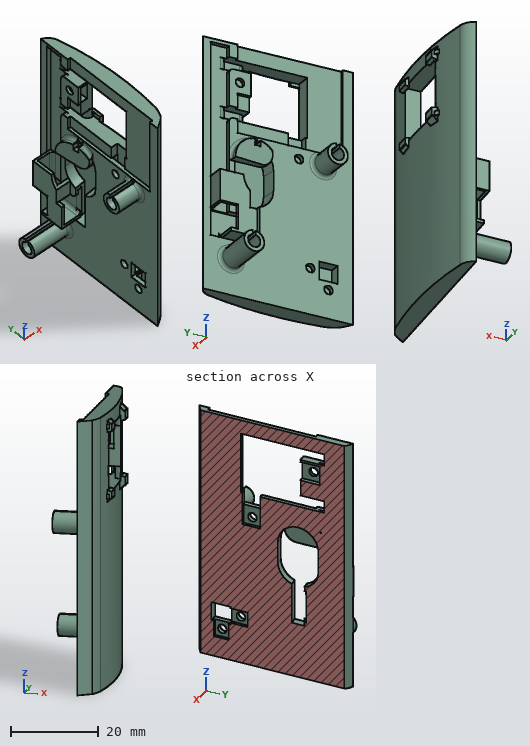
import cadquery as cq
import math


PLATE_WIDTH = 39.13
PLATE_HEIGHT = 63.8
PLATE_THICKNESS = 5.0
CROWN_RADIUS = 84.0
CROWN_PEAK_Y = 16.5
UPPER_EDGE_Y = 36.1
UPPER_EDGE_MID = (2.0, 37.65)
LOWER_EDGE_Y = 5.1
LOWER_EDGE_MID = (3.65, 3.35)
LOWER_BEVEL_END = (3.04, 2.15)
LOWER_BEVEL_MID = (1.65, 1.08)
CLEARANCE = 10.0

CATCH_SKIN = 1.2
CATCH_DEPTH = 2.75
SQUARE_CATCH_WIDTH = 3.7
CATCH_BEYOND_HOLE = 2.0
HOLE_DIAMETER = 2.2
BLOCK_HOLE = (29.5, 54.27)
CHANNEL_HOLE = (14.1, 38.6)
SQUARE_SIDE_HOLE = (11.16, 11.75)
SQUARE_LOWER_HOLE = (6.44, 7.3)

WINDOW_Y = (11.45, 26.6)
WINDOW_Z = (44.94, 60.17)
STEP_Y = (2.7, 30.1)
STEP_BOTTOM_Z = 41.45
STEP_DEPTH = 0.85
CHANNEL_Y = (11.9, 16.4)

STRIP_Y = (32.35, 37.1)
STRIP_TOP_Z = 62.86
STRIP_DEPTH = 1.15

GROOVE_HEIGHT = 2.87
GROOVE_DEPTH = CATCH_DEPTH
GROOVE_ROUND = 1.6
BLOCK_CORNER_RADIUS = 1.2
BLOCK_BOTTOM_Z = 51.5
BLOCK_CATCH_WIDTH = 4.7
BLOCK_SKIN = STEP_DEPTH

TILT = 6.0
KEYHOLE_Y = 25.85
KEYHOLE_RADIUS = 5.05
KEYHOLE_UPPER_Z = 34.2
KEYHOLE_LOWER_Z = 28.95
KEYHOLE_DEPTH = 3.4
NECK_Y = (24.3, 27.46)
NECK_BOTTOM_Z = 13.97

LID_CENTRE = (25.94, 34.2)
LID_RADIUS = 5.95
LID_Y_MIN = 21.65
LID_BOTTOM_Z = 34.1
LID_CORNER_RADIUS = 3.1
LID_RISE = 1.18
NOTCH_Y = (25.1, 26.65)
NOTCH_BOTTOM_Z = 38.6
NOTCH_DEPTH = 1.0
NOTCH_PIT_TOP_Z = 40.1
NOTCH_PIT_SHIFT = 0.15

BRACKET_HEIGHT = 4.3
BRACKET_WALL = 0.85
BRACKET_SIDE_WALL = 0.65
BRACKET_TOP_Z = 28.9
BRACKET_STEP_Z = 21.0
BRACKET_RIB_Y = 29.25
BRACKET_RIB = 0.6
BRACKET_FLOOR_END_Y = 34.15
BRACKET_FILLET = 0.95
RECESS_CORNER_RADIUS = 1.2
NECK_EDGE_RADIUS = 1.45
RECESS_DEPTH = 1.55
RECESS_SKIN = 0.85
RECESS_UNDERCUT_Z = 23.0

POSTS = [(7.9, 38.45, 7.0), (31.92, 9.1, 11.0)]
POST_DIAMETER = 5.2
POST_BORE = 3.2
BORE_OVERDEPTH = 1.0
POST_SLIT = 0.85
BASE_FLARE = 0.9

SQUARE_Y = (4.06, 8.81)
SQUARE_Z = (9.42, 13.97)

TAB_TOP_X = 5.82
TAB_BACK_X = 4.8
TAB_TIP = 0.2
TAB_SIDE_FLARE_X = 5.2
TAB_INNER_SLOPE = 0.3
TAB_ROOT_X = 4.3
TAB_OVERHANG_Y = 2.1
TAB_OVERHANG_Z = {WINDOW_Y[0]: 0.87, WINDOW_Y[1]: 1.25}
TAB_REACH = 1.05


def block(x, y, z):
    """Box spanning three (low, high) ranges."""
    size = (x[1] - x[0], y[1] - y[0], z[1] - z[0])
    return cq.Workplane("XY").box(*size, centered=False).translate((x[0], y[0], z[0]))


def pocket(depth, y, z):
    """Rectangular cutter sunk from the back face."""
    return block((-CLEARANCE, depth), y, z)


def crown_x(y):
    """Height of the crowned front face at y."""
    return PLATE_THICKNESS - CROWN_RADIUS + math.sqrt(CROWN_RADIUS**2 - (y - CROWN_PEAK_Y) ** 2)


def make_plate():
    """Crowned cross-section in X and Y, extruded along Z."""
    return (
        cq.Workplane("XY")
        .moveTo(0, 0)
        .threePointArc(LOWER_BEVEL_MID, LOWER_BEVEL_END)
        .threePointArc(LOWER_EDGE_MID, (crown_x(LOWER_EDGE_Y), LOWER_EDGE_Y))
        .threePointArc((PLATE_THICKNESS, CROWN_PEAK_Y), (crown_x(UPPER_EDGE_Y), UPPER_EDGE_Y))
        .threePointArc(UPPER_EDGE_MID, (0, PLATE_WIDTH))
        .close()
        .extrude(PLATE_HEIGHT)
    )


def groove_bottoms():
    """Lower Z of the grooves, flush with the window top and bottom."""
    return [WINDOW_Z[1] - GROOVE_HEIGHT, WINDOW_Z[0]]


def hinge_groove(z):
    """Groove from the strip to the window, rounded over at both ends."""
    strip_end = STRIP_Y[0] + GROOVE_ROUND
    window_end = WINDOW_Y[1] + GROOVE_ROUND
    bend = GROOVE_ROUND * math.sqrt(0.5)
    strip_centre_x = STRIP_DEPTH + GROOVE_ROUND
    window_centre_x = GROOVE_DEPTH + GROOVE_ROUND
    return (
        cq.Workplane("XY", origin=(0, 0, z))
        .moveTo(-CLEARANCE, strip_end)
        .lineTo(STRIP_DEPTH, strip_end)
        .threePointArc((strip_centre_x - bend, strip_end - bend), (strip_centre_x, STRIP_Y[0]))
        .lineTo(GROOVE_DEPTH, window_end)
        .threePointArc((window_centre_x - bend, window_end - bend), (window_centre_x, WINDOW_Y[1]))
        .lineTo(-CLEARANCE, WINDOW_Y[1])
        .close()
        .extrude(GROOVE_HEIGHT)
    )


def corner_rounding(depth, y, z, radius, side):
    """Cutter that rounds a plate corner; side is -1 or +1 for solid at lower or higher y and z."""
    centre = (y + side * radius, z + side * radius)
    square = pocket(depth, sorted([y, centre[0]]), sorted([z, centre[1]]))
    disc = cq.Workplane("YZ").center(*centre).circle(radius)
    return square.cut(disc.extrude(2 * CLEARANCE, both=True))


def cut_window_area(body):
    through_x = (-CLEARANCE, CLEARANCE)
    body = body.cut(block(through_x, WINDOW_Y, WINDOW_Z))
    step = pocket(STEP_DEPTH, STEP_Y, (STEP_BOTTOM_Z, PLATE_HEIGHT))
    kept_block = pocket(STEP_DEPTH, (WINDOW_Y[1], STEP_Y[1]), (BLOCK_BOTTOM_Z, groove_bottoms()[0]))
    body = body.cut(step.cut(kept_block))
    body = body.cut(pocket(CATCH_DEPTH, CHANNEL_Y, (STEP_BOTTOM_Z, WINDOW_Z[0])))
    body = body.cut(pocket(STRIP_DEPTH, STRIP_Y, (NECK_BOTTOM_Z, STRIP_TOP_Z)))
    for z in groove_bottoms():
        body = body.cut(hinge_groove(z))
        body = body.cut(corner_rounding(STRIP_DEPTH, STRIP_Y[0], z, BLOCK_CORNER_RADIUS, -1))
    return body


def tilted_plane():
    """Plane through the keyhole axis; its normal leans toward +Y going into the plate."""
    angle = math.radians(TILT)
    return cq.Plane(
        origin=(0, KEYHOLE_Y, 0),
        xDir=(-math.sin(angle), math.cos(angle), 0),
        normal=(math.cos(angle), math.sin(angle), 0),
    )


def tilted_pocket(depth, y, z):
    """Rectangular cutter along the tilted keyhole axis."""
    start = cq.Workplane(tilted_plane()).workplane(offset=-CLEARANCE)
    centre = ((y[0] + y[1]) / 2 - KEYHOLE_Y, (z[0] + z[1]) / 2)
    return start.center(*centre).rect(y[1] - y[0], z[1] - z[0]).extrude(CLEARANCE + depth)


def keyhole_cavity():
    """Round-ended chamber with a narrow neck running down to the bracket floor."""
    diameter = 2 * KEYHOLE_RADIUS
    length = KEYHOLE_UPPER_Z - KEYHOLE_LOWER_Z + diameter
    start = cq.Workplane(tilted_plane()).workplane(offset=-CLEARANCE)
    middle = start.center(0, (KEYHOLE_UPPER_Z + KEYHOLE_LOWER_Z) / 2)
    chamber = middle.slot2D(length, diameter, 90).extrude(CLEARANCE + KEYHOLE_DEPTH)
    return chamber.union(tilted_pocket(KEYHOLE_DEPTH, NECK_Y, (NECK_BOTTOM_Z, KEYHOLE_LOWER_Z)))


def bracket_recess():
    """Floor recess below the bracket, with rounded corners toward the neck."""
    recess = pocket(RECESS_DEPTH, (NECK_Y[1], STRIP_Y[1]), (NECK_BOTTOM_Z, BRACKET_STEP_Z))
    undercut_y = (NECK_Y[1], BRACKET_RIB_Y)
    undercut = block((RECESS_SKIN, RECESS_DEPTH), undercut_y, (BRACKET_STEP_Z, RECESS_UNDERCUT_Z))
    edge = block(
        (RECESS_DEPTH, RECESS_DEPTH + NECK_EDGE_RADIUS),
        (NECK_Y[1], NECK_Y[1] + NECK_EDGE_RADIUS),
        (NECK_BOTTOM_Z + BRACKET_WALL, RECESS_UNDERCUT_Z),
    )
    roll = (
        cq.Workplane("XY")
        .center(RECESS_DEPTH + NECK_EDGE_RADIUS, NECK_Y[1] + NECK_EDGE_RADIUS)
        .circle(NECK_EDGE_RADIUS)
        .extrude(PLATE_HEIGHT)
    )
    corner = corner_rounding(RECESS_DEPTH, NECK_Y[1], BRACKET_STEP_Z, RECESS_CORNER_RADIUS, 1)
    return recess.union(undercut).union(edge.cut(roll)).union(corner)


def bracket_cover_outline():
    """Cover shape in Y and Z, hollowed by the keyhole circle."""
    outline = (
        cq.Workplane("YZ")
        .polyline([
            (STRIP_Y[1], BRACKET_TOP_Z),
            (STRIP_Y[1], BRACKET_STEP_Z),
            (STRIP_Y[0], BRACKET_STEP_Z),
            (STRIP_Y[0], NECK_BOTTOM_Z),
            (NECK_Y[1], NECK_BOTTOM_Z),
            (NECK_Y[1], BRACKET_STEP_Z),
            (BRACKET_RIB_Y, BRACKET_STEP_Z),
            (BRACKET_RIB_Y, BRACKET_TOP_Z),
        ])
        .close()
        .extrude(-BRACKET_HEIGHT)
    )
    circle = cq.Workplane("YZ").center(KEYHOLE_Y, KEYHOLE_LOWER_Z).circle(KEYHOLE_RADIUS)
    return outline.cut(circle.extrude(-BRACKET_HEIGHT))


def inside_fillet(axis_plane, corner, toward, length):
    """Concave fillet strip: a square at the corner minus a disc, extruded along the plane normal."""
    radius = BRACKET_FILLET
    centre = (corner[0] + toward[0] * radius, corner[1] + toward[1] * radius)
    square_centre = ((corner[0] + centre[0]) / 2, (corner[1] + centre[1]) / 2)
    square = axis_plane.center(*square_centre).rect(radius, radius).extrude(length)
    return square.cut(axis_plane.center(*centre).circle(radius).extrude(length))


def make_bracket():
    """Cover plate carried by a rib, a side wall and a floor wall."""
    full_x = (-BRACKET_HEIGHT, RECESS_DEPTH)
    outline = bracket_cover_outline()
    cover_x = (-BRACKET_HEIGHT, -BRACKET_HEIGHT + BRACKET_WALL)
    cover = outline.intersect(block(cover_x, (0, PLATE_WIDTH), (0, PLATE_HEIGHT)))
    rib_y = (BRACKET_RIB_Y, BRACKET_RIB_Y + BRACKET_RIB)
    rib = outline.intersect(block((-BRACKET_HEIGHT, 0), rib_y, (BRACKET_STEP_Z, BRACKET_TOP_Z)))
    side_y = (STRIP_Y[1] - BRACKET_SIDE_WALL, STRIP_Y[1])
    side = block(full_x, side_y, (BRACKET_STEP_Z, BRACKET_TOP_Z))
    floor_y = (NECK_Y[1], BRACKET_FLOOR_END_Y)
    floor_top = NECK_BOTTOM_Z + BRACKET_WALL
    floor = block(full_x, floor_y, (NECK_BOTTOM_Z, floor_top))
    floor_fillet = inside_fillet(
        cq.Workplane("XZ", origin=(0, floor_y[1], 0)),
        (RECESS_DEPTH, floor_top),
        (-1, 1),
        floor_y[1] - floor_y[0],
    )
    side_fillet = inside_fillet(
        cq.Workplane("XY", origin=(0, 0, BRACKET_STEP_Z)),
        (STRIP_DEPTH, side_y[0]),
        (-1, -1),
        BRACKET_TOP_Z - BRACKET_STEP_Z,
    )
    return cover.union(rib).union(side).union(floor).union(floor_fillet).union(side_fillet)


def flared_post(y, z, radius, length):
    """Round post along -X with a flared base, rooted in the plate as deep as the step."""
    bend = BASE_FLARE * (1 - math.sqrt(0.5))
    return (
        cq.Workplane("XY")
        .moveTo(STEP_DEPTH, 0)
        .lineTo(STEP_DEPTH, radius + BASE_FLARE)
        .lineTo(0, radius + BASE_FLARE)
        .threePointArc((-bend, radius + bend), (-BASE_FLARE, radius))
        .lineTo(-length, radius)
        .lineTo(-length, 0)
        .close()
        .revolve(360, (0, 0, 0), (1, 0, 0))
        .translate((0, y, z))
    )


def make_lid():
    """Part of a flared disc with a sloped top and one rounded corner."""
    slope = math.tan(math.radians(TILT))
    high_x = LID_RISE + slope * (STRIP_Y[0] - LID_Y_MIN)
    wedge = (
        cq.Workplane("XY", origin=(0, 0, LID_BOTTOM_Z))
        .polyline([(0, LID_Y_MIN), (-LID_RISE, LID_Y_MIN), (-high_x, STRIP_Y[0]), (0, STRIP_Y[0])])
        .close()
        .extrude(CLEARANCE)
    )
    disc = flared_post(*LID_CENTRE, LID_RADIUS, CLEARANCE)
    outline = block((-CLEARANCE, 0), (LID_Y_MIN, STRIP_Y[0]), (LID_BOTTOM_Z, LID_BOTTOM_Z + CLEARANCE))
    outline = outline.edges("|X").edges("<Y").edges("<Z").fillet(LID_CORNER_RADIUS)
    return wedge.intersect(disc).intersect(outline)


def lid_notch():
    """Notch through the lid rim with a deeper pit at its inner end."""
    rim = pocket(0, NOTCH_Y, (NOTCH_PIT_TOP_Z, STEP_BOTTOM_Z))
    pit_y = (NOTCH_Y[0] - NOTCH_PIT_SHIFT, NOTCH_Y[1] - NOTCH_PIT_SHIFT)
    return rim.union(pocket(NOTCH_DEPTH, pit_y, (NOTCH_BOTTOM_Z, NOTCH_PIT_TOP_Z)))


def add_post(body, y, z, length):
    radius = POST_DIAMETER / 2
    flare_reach = radius + BASE_FLARE
    post = flared_post(y, z, radius, length)
    post = post.cut(pocket(STEP_DEPTH, STEP_Y, (STEP_BOTTOM_Z, PLATE_HEIGHT)))
    body = body.union(post)
    bore_start = cq.Workplane("YZ", origin=(-length, y, z))
    bore = bore_start.circle(POST_BORE / 2).extrude(length + BORE_OVERDEPTH)
    slit = block((-length, 0), (y - POST_SLIT / 2, y + POST_SLIT / 2), (z, z + flare_reach))
    return body.cut(bore).cut(slit)


def window_tab(y_edge, y_out, z_edge, z_out):
    """Snap tab over one window corner; y_out and z_out (+1 or -1) point away from the window."""
    y_inner = y_edge - y_out * TAB_OVERHANG_Y
    y_outer = y_edge + y_out * TAB_REACH
    z_inner = z_edge - z_out * TAB_OVERHANG_Z[y_edge]
    z_outer = z_edge + z_out * TAB_REACH
    flare_x = TAB_TOP_X - TAB_TIP
    flare = flare_x - TAB_ROOT_X
    tab = (
        cq.Workplane("XZ", origin=(0, y_inner, 0))
        .polyline([
            (TAB_ROOT_X, z_inner),
            (TAB_BACK_X, z_inner),
            (TAB_TOP_X, z_inner + z_out * TAB_INNER_SLOPE),
            (TAB_TOP_X, z_outer),
            (flare_x, z_outer),
            (TAB_ROOT_X, z_outer + z_out * flare),
        ])
        .close()
        .extrude(y_inner - y_outer)
    )
    side_flare = (
        cq.Workplane("XY", origin=(0, 0, z_edge))
        .polyline([
            (TAB_ROOT_X, y_edge),
            (TAB_SIDE_FLARE_X, y_edge),
            (TAB_SIDE_FLARE_X, y_outer),
            (TAB_ROOT_X, y_outer + y_out * (TAB_SIDE_FLARE_X - TAB_ROOT_X)),
        ])
        .close()
        .extrude(z_outer - z_edge)
    )
    behind = block((-CLEARANCE, TAB_BACK_X), WINDOW_Y, WINDOW_Z)
    return tab.union(side_flare).cut(behind)


def add_tabs(body):
    for y_edge, y_out in zip(WINDOW_Y, (-1, 1)):
        for z_edge, z_out in zip(WINDOW_Z, (-1, 1)):
            body = body.union(window_tab(y_edge, y_out, z_edge, z_out))
    return body


def centred(middle, width):
    """(low, high) range of a given width about its middle."""
    return (middle - width / 2, middle + width / 2)


def catch_along_y(mouth_y, hole, width, skin):
    """Hidden cavity running in +Y from its mouth to just past the release hole."""
    y = (mouth_y, hole[0] + CATCH_BEYOND_HOLE)
    return block((skin, CATCH_DEPTH), y, centred(hole[1], width))


def catch_along_z(mouth_z, hole, width, skin):
    """Hidden cavity running in -Z from its mouth to just past the release hole."""
    z = (hole[1] - CATCH_BEYOND_HOLE, mouth_z)
    return block((skin, CATCH_DEPTH), centred(hole[0], width), z)


def cut_catches(body):
    body = body.cut(pocket(CATCH_DEPTH, SQUARE_Y, SQUARE_Z))
    body = body.cut(catch_along_y(WINDOW_Y[1], BLOCK_HOLE, BLOCK_CATCH_WIDTH, BLOCK_SKIN))
    body = body.cut(catch_along_y(SQUARE_Y[1], SQUARE_SIDE_HOLE, SQUARE_CATCH_WIDTH, CATCH_SKIN))
    body = body.cut(catch_along_z(SQUARE_Z[0], SQUARE_LOWER_HOLE, SQUARE_CATCH_WIDTH, CATCH_SKIN))
    body = body.cut(catch_along_z(STEP_BOTTOM_Z, CHANNEL_HOLE, CHANNEL_Y[1] - CHANNEL_Y[0], CATCH_SKIN))
    for hole in (BLOCK_HOLE, CHANNEL_HOLE, SQUARE_SIDE_HOLE, SQUARE_LOWER_HOLE):
        body = body.cut(cq.Workplane("YZ").center(*hole).circle(HOLE_DIAMETER / 2).extrude(CATCH_DEPTH))
    return body


body = cut_window_area(make_plate())
body = body.cut(keyhole_cavity()).cut(bracket_recess())
body = body.union(make_lid()).cut(lid_notch())
body = body.union(make_bracket())
for post_y, post_z, post_length in POSTS:
    body = add_post(body, post_y, post_z, post_length)
body = add_tabs(body)
result = cut_catches(body)